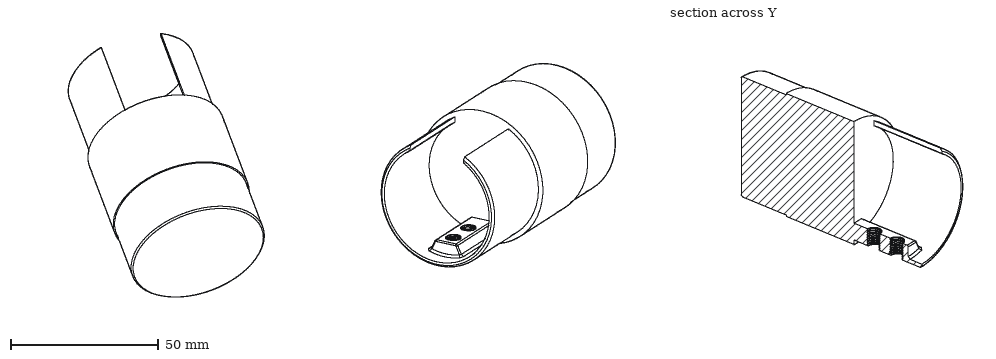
import cadquery as cq
import math

total_length = 80.0
collar_start = 30.0
collar_end = 60.0
sleeve_diameter = 44.8
sleeve_bore = 41.4
collar_diameter = 48.3
plug_diameter = 47.3
sleeve_chamfer = 0.8
plug_chamfer = 0.6

slot_width = 21.1

bar_start = 6.0
bar_top_z = -15.6
bar_top_width = 8.6
bar_side_angle = 25.0
bar_edge_chamfer = 0.5
bar_foot_chamfer = 0.8

hole_start = 11.4
hole_spacing = 10.1
hole_count = 2
hole_diameter = 5.0
thread_diameter = 5.7
thread_pitch = 1.0
thread_groove_width = 0.8
thread_overlap = 0.2


def cylinder(start, end, diameter):
    return cq.Workplane("YZ", origin=(start, 0, 0)).circle(diameter / 2).extrude(end - start)


def make_sleeve():
    """Thin tube with a full-length opening along its top."""
    sleeve = cylinder(0, collar_start, sleeve_diameter).faces("<X").chamfer(sleeve_chamfer)
    slot = cq.Workplane("XY").rect(2 * collar_start, slot_width).extrude(sleeve_diameter)
    return sleeve.cut(cylinder(0, collar_start, sleeve_bore)).cut(slot)


def make_bar():
    """Bar with sloping sides, long enough downwards to end inside the sleeve wall."""
    bar_bottom_z = -(sleeve_bore + sleeve_diameter) / 4
    flare = (bar_top_z - bar_bottom_z) * math.tan(math.radians(bar_side_angle))
    half_top = bar_top_width / 2
    half_bottom = half_top + flare
    bar = (
        cq.Workplane("YZ", origin=(bar_start, 0, 0))
        .polyline([
            (-half_top, bar_top_z),
            (half_top, bar_top_z),
            (half_bottom, bar_bottom_z),
            (-half_bottom, bar_bottom_z),
        ])
        .close()
        .extrude(collar_start - bar_start)
    )
    front_edges = bar.faces("<X").edges("not <Z")
    top_edges = bar.faces(">Z").edges("|X")
    bar = bar.newObject(front_edges.vals() + top_edges.vals()).chamfer(bar_edge_chamfer)
    return bar.intersect(cylinder(0, collar_start, (sleeve_bore + sleeve_diameter) / 2))


def on_bar_foot(edge):
    """True for the edges where the front and sides of the bar meet the bore."""
    center = edge.positionAt(0.5)
    on_bore = all(
        abs(math.hypot(p.y, p.z) - sleeve_bore / 2) < 0.01
        for p in (edge.positionAt(t) for t in (0.0, 0.5, 1.0))
    )
    inside_sleeve = bar_start - 0.01 < center.x < collar_start - 0.01
    return on_bore and inside_sleeve and center.z < bar_top_z


def make_threaded_hole(x):
    """Cutter for one vertical hole with a helical thread groove."""
    bottom_z = -sleeve_diameter / 2 - thread_pitch
    depth = bar_top_z + thread_pitch - bottom_z
    hole = cq.Workplane("XY").circle(hole_diameter / 2).extrude(depth)
    root = hole_diameter / 2 - thread_overlap
    helix = cq.Workplane(cq.Wire.makeHelix(thread_pitch, depth, root))
    groove = (
        cq.Workplane("XZ")
        .polyline([
            (root, -thread_groove_width / 2),
            (thread_diameter / 2, 0),
            (root, thread_groove_width / 2),
        ])
        .close()
        .sweep(helix, isFrenet=True)
    )
    cutter = hole.union(groove).rotate((0, 0, 0), (0, 0, 1), 180)
    return cutter.translate((x, 0, bottom_z))


sleeve = make_sleeve().union(make_bar())
foot_edges = [edge for edge in sleeve.edges().vals() if on_bar_foot(edge)]
sleeve = sleeve.newObject(foot_edges).chamfer(bar_foot_chamfer)

for index in range(hole_count):
    sleeve = sleeve.cut(make_threaded_hole(hole_start + index * hole_spacing))

collar = cylinder(collar_start, collar_end, collar_diameter)
plug = cylinder(collar_end, total_length, plug_diameter).faces(">X").chamfer(plug_chamfer)

result = sleeve.union(collar).union(plug)